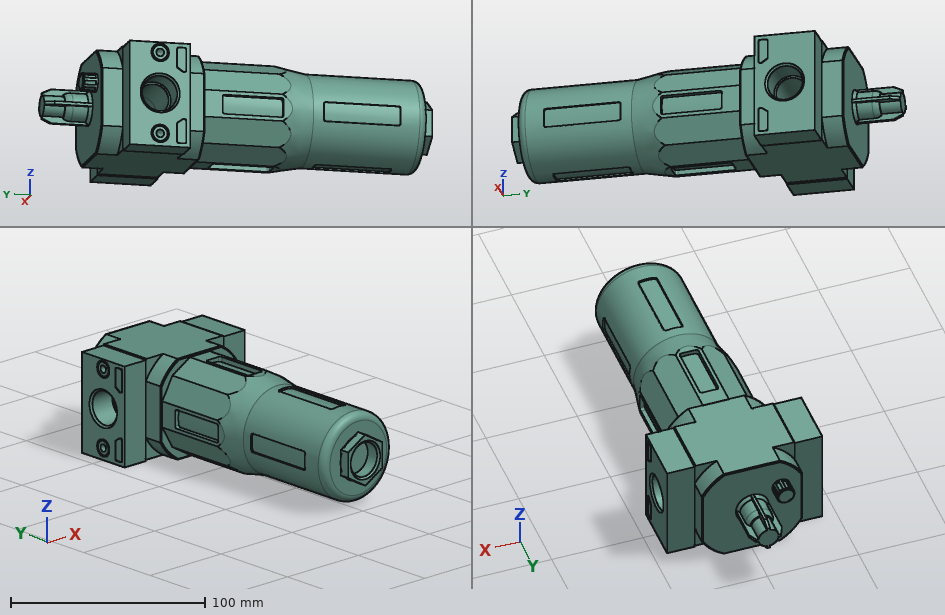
import cadquery as cq
import math


overall_length = 204.3

housing_side = 55.0
housing_half = housing_side / 2
corner_radius = 31.5
housing_chamfer = 0.6
flow_bore_diameter = 16.3

overall_width = 85.0
plate_thickness = (overall_width - housing_side) / 2
plate_length = 32.0
plate_height = 55.0
plate_z = -0.6

port_diameter = 18.5
port_mouth_diameter = 20.8
port_chamfer = (port_mouth_diameter - port_diameter) / 2

screw_spacing = 43.0
screw_diameter = 8.5
screw_chamfer = 0.5
screw_socket_diameter = 4.0
screw_socket_depth = 2.0

label_y_near = -9.0
label_y_far = -13.9
label_z_outer = 25.3
label_z_inner = 12.5
label_slant_run = 3.3
label_slant_rise = 2.2
label_corner_radius = 1.0
label_depth = 0.5

guard_sides = 12
guard_flats = 53.1
guard_corner_radius = guard_flats / 2 / math.cos(math.pi / guard_sides)
guard_top = -housing_half
cone_top = -69.0
cone_bottom = -85.8
barrel_radius = 24.3
guard_bottom = -146.5
guard_fillet = 4.3

window_width = 10.2
window_corner_radius = 1.2
upper_window_top = -37.2
upper_window_bottom = -69.5
upper_floor_radius = 24.3
lower_window_top = -91.5
lower_window_bottom = -132.2
lower_floor_radius = 23.3

nut_flats = 24.1
nut_bottom = -152.0
nut_bore_depth = 8.2
nut_stem_diameter = 25.0
nut_stem_length = 6.1

dome_tip = nut_bottom + overall_length
dome_tip_radius = 5.5
dome_shoulder_y = 41.3
dome_shoulder_radius = 6.1
dome_body_top = 37.5
dome_body_radius = 7.5
dome_flare_top = 29.5
dome_base_radius = 9.0
fin_thickness = 1.6
fin_tip_radius = 6.7
fin_slope_length = 4.7

knob_x = -15.7
knob_z = 10.0
knob_diameter = 9.5
knob_height = 8.0
knob_chamfer = 0.6
groove_count = 8
groove_start_angle = 60
groove_width = 2.0
groove_depth = 0.5
groove_margin = 1.0


def cylinder_along_y(radius, y_start, y_end):
    """Solid cylinder around the Y axis between two Y positions."""
    return cq.Workplane("XZ", origin=(0, y_start, 0)).circle(radius).extrude(y_start - y_end)


def port_cutter(depth):
    """Threaded port along +Z from the origin, with a conical mouth at the origin."""
    bore = cq.Workplane("XY").circle(port_diameter / 2).extrude(depth)
    mouth = cq.Solid.makeCone(port_mouth_diameter / 2, port_diameter / 2, port_chamfer)
    return bore.union(cq.Workplane(mouth))


def make_housing():
    """Square block with rounded long corners at both ends and full corners between the plates."""
    rounded_block = (
        cq.Workplane("XY").box(housing_side, housing_side, housing_side)
        .intersect(cylinder_along_y(corner_radius, housing_half, -housing_half))
        .faces("<Y or >Y").chamfer(housing_chamfer)
    )
    middle_block = (
        cq.Workplane("XY").box(housing_side, plate_length, housing_side)
        .edges("|Y").chamfer(housing_chamfer)
    )
    flow_bore = cq.Workplane("YZ").circle(flow_bore_diameter / 2).extrude(housing_half, both=True)
    return rounded_block.union(middle_block).cut(flow_bore)


def make_label_recess(z_side):
    """Shallow label pocket with one slanted end towards the port, for the +Z or -Z half."""
    outline = [
        (label_y_near, label_z_outer),
        (label_y_far, label_z_outer),
        (label_y_far, label_z_inner),
        (label_y_near - label_slant_run, label_z_inner),
        (label_y_near, label_z_inner + label_slant_rise),
    ]
    points = [(y, z_side * z + plate_z) for y, z in outline]
    return (
        cq.Workplane("YZ", origin=(-overall_width / 2, 0, 0))
        .polyline(points).close().extrude(label_depth)
        .edges("|X").fillet(label_corner_radius)
    )


def make_left_plate():
    """Connecting plate on the -X side with port and label recesses, before its screw holes."""
    plate = cq.Workplane("XY").box(plate_thickness, plate_length, plate_height)
    plate = plate.translate((-(housing_side + plate_thickness) / 2, 0, plate_z))
    port = port_cutter(plate_thickness).rotate((0, 0, 0), (0, 1, 0), 90)
    plate = plate.cut(port.translate((-overall_width / 2, 0, 0)))
    for z_side in (1, -1):
        plate = plate.cut(make_label_recess(z_side))
    return plate


def screw_blank(z):
    """Full cylinder of one screw through the -X plate."""
    return (
        cq.Workplane("YZ", origin=(-overall_width / 2, 0, z))
        .circle(screw_diameter / 2).extrude(plate_thickness)
    )


def screw_hole(z):
    """Hole for one screw, widened at its mouth."""
    mouth = cq.Solid.makeCone(
        screw_diameter / 2 + screw_chamfer, screw_diameter / 2, screw_chamfer,
        pnt=cq.Vector(-overall_width / 2, 0, z), dir=cq.Vector(1, 0, 0),
    )
    return screw_blank(z).union(cq.Workplane(mouth))


def make_screw(z):
    """Flush screw with a chamfered head and a conical socket."""
    socket = cq.Solid.makeCone(
        screw_socket_diameter / 2, 0, screw_socket_depth,
        pnt=cq.Vector(-overall_width / 2, 0, z), dir=cq.Vector(1, 0, 0),
    )
    return screw_blank(z).faces("<X").chamfer(screw_chamfer).cut(cq.Workplane(socket))


def make_window_row(y_start, y_end, floor_radius):
    """Four window recesses around the guard, all ending on one common cylinder."""
    length = y_start - y_end
    bar = (
        cq.Workplane("XY", origin=(0, (y_start + y_end) / 2, 0))
        .rect(window_width, length).extrude(guard_corner_radius)
        .edges("|Z").fillet(window_corner_radius)
    )
    bars = bar
    for turn in (90, 180, 270):
        bars = bars.union(bar.rotate((0, 0, 0), (0, 1, 0), turn))
    return bars.cut(cylinder_along_y(floor_radius, y_start, y_end))


def make_guard():
    """Twelve-sided grip tapering into a round barrel, with two window rows and a seat for the nut."""
    grip = (
        cq.Workplane("XZ", origin=(0, guard_top, 0))
        .polygon(guard_sides, 2 * guard_corner_radius).extrude(guard_top - guard_bottom)
        .rotate((0, 0, 0), (0, 1, 0), 180 / guard_sides)
    )
    envelope = (
        cq.Workplane("XY")
        .moveTo(0, guard_top)
        .lineTo(guard_corner_radius, guard_top)
        .lineTo(guard_corner_radius, cone_top)
        .lineTo(barrel_radius, cone_bottom)
        .lineTo(barrel_radius, guard_bottom)
        .lineTo(0, guard_bottom)
        .close().revolve(360, (0, 0, 0), (0, 1, 0))
        .faces("<Y").edges().fillet(guard_fillet)
    )
    upper_row = make_window_row(upper_window_top, upper_window_bottom, upper_floor_radius)
    lower_row = make_window_row(lower_window_top, lower_window_bottom, lower_floor_radius)
    guard = grip.intersect(envelope).cut(nut_stem())
    return guard.cut(upper_row).cut(lower_row)


def nut_stem():
    """Round stem of the bottom nut inside the guard."""
    return cylinder_along_y(nut_stem_diameter / 2, guard_bottom + nut_stem_length, guard_bottom)


def make_nut():
    """Hexagonal nut under the guard with a stem and a blind threaded port."""
    nut = (
        cq.Workplane("XZ", origin=(0, guard_bottom, 0))
        .polygon(6, nut_flats / math.cos(math.pi / 6)).extrude(guard_bottom - nut_bottom)
        .rotate((0, 0, 0), (0, 1, 0), 30)
        .union(nut_stem())
    )
    port = port_cutter(nut_bore_depth).rotate((0, 0, 0), (1, 0, 0), -90)
    return nut.cut(port.translate((0, nut_bottom, 0)))


def make_dome():
    """Stepped round dome with four fins crossing on its axis."""
    core = (
        cq.Workplane("XY")
        .moveTo(0, housing_half)
        .lineTo(dome_base_radius, housing_half)
        .lineTo(dome_body_radius, dome_flare_top)
        .lineTo(dome_body_radius, dome_body_top)
        .tangentArcPoint((dome_shoulder_radius, dome_shoulder_y), relative=False)
        .lineTo(dome_tip_radius, dome_shoulder_y)
        .lineTo(dome_tip_radius, dome_tip)
        .lineTo(0, dome_tip)
        .close().revolve(360, (0, 0, 0), (0, 1, 0))
    )
    fin_pair = (
        cq.Workplane("XY")
        .polyline([
            (dome_base_radius, housing_half),
            (dome_base_radius, dome_tip - fin_slope_length),
            (fin_tip_radius, dome_tip),
            (-fin_tip_radius, dome_tip),
            (-dome_base_radius, dome_tip - fin_slope_length),
            (-dome_base_radius, housing_half),
        ])
        .close().extrude(fin_thickness / 2, both=True)
    )
    return core.union(fin_pair).union(fin_pair.rotate((0, 0, 0), (0, 1, 0), 90))


def make_knob():
    """Round knob with closed grip grooves around its side."""
    knob = cylinder_along_y(knob_diameter / 2, housing_half, housing_half + knob_height)
    knob = knob.faces(">Y").chamfer(knob_chamfer)
    groove = cq.Workplane("XY").box(2 * groove_depth, knob_height - 2 * groove_margin, groove_width)
    groove = groove.translate((knob_diameter / 2, housing_half + knob_height / 2, 0))
    for index in range(groove_count):
        angle = -groove_start_angle + index * 360 / groove_count
        knob = knob.cut(groove.rotate((0, 0, 0), (0, 1, 0), angle))
    return knob.translate((knob_x, 0, knob_z))


housing = make_housing()

left_plate = make_left_plate()
right_plate = left_plate.mirror("YZ")

screws = []
for screw_z in (screw_spacing / 2, -screw_spacing / 2):
    left_plate = left_plate.cut(screw_hole(screw_z))
    screws.append(make_screw(screw_z))

guard = make_guard()
nut = make_nut()
dome = make_dome()
knob = make_knob()

result = cq.Compound.makeCompound([
    housing.val(),
    left_plate.val(),
    right_plate.val(),
    *[screw.val() for screw in screws],
    guard.val(),
    nut.val(),
    dome.val(),
    knob.val(),
])